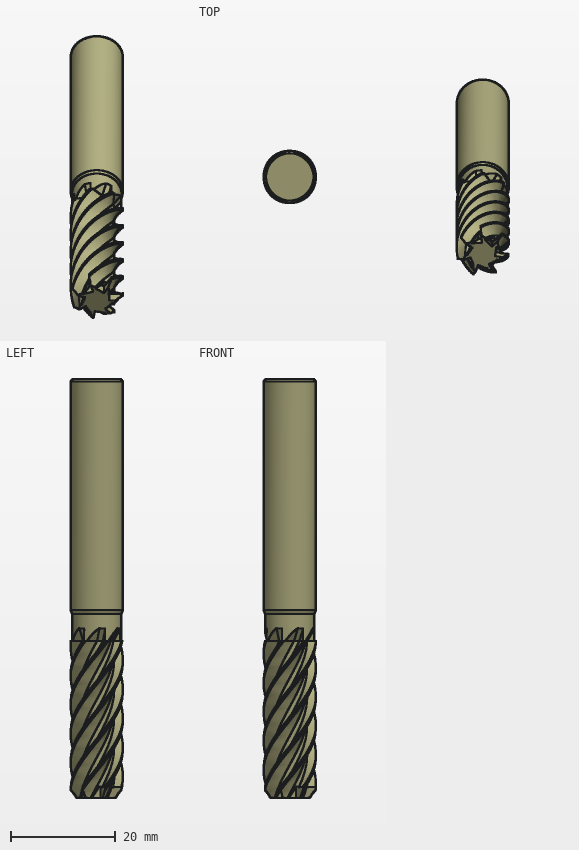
import cadquery as cq
import math

total_length = 80.0
shank_radius = 5.0
top_chamfer = 0.5

neck_radius = 4.7
neck_top = 35.1
neck_taper_height = 0.7

head_height = 30.0
head_radius = shank_radius
corner_radius = 1.6
corner_overrun = 0.1

flute_count = 7
tooth_angle = 360 / flute_count
helix_lead = 38.7
edge_angle_at_bottom = 23.7
land_angle = 6.0
core_radius = 3.4
floor_start_angle = 33.0
rake_undercut_angle = 1.0
clearance = 0.8

runout_height = 2.9
runout_shift = 1.7
runout_direction = 50.0

gash_height = 2.2
gash_roof_width = 0.6
gash_bottom_width = 1.9
gash_inner_radius = 2.4


def helix_turn(height):
    """Angle in degrees that the flutes turn through over a height."""
    return 360 * height / helix_lead


def polar(radius, degrees):
    """Point at a radius and an angle about the tool axis."""
    angle = math.radians(degrees)
    return (radius * math.cos(angle), radius * math.sin(angle))


def flute_section(edge_angle, height):
    """Closed flute outline, from the back of one land to the rake of the next tooth."""
    land_back = edge_angle + land_angle
    floor_start = edge_angle + floor_start_angle
    next_edge = edge_angle + tooth_angle
    floor_end = next_edge + rake_undercut_angle
    outside = head_radius + clearance
    return (
        cq.Workplane("XY", origin=(0, 0, height))
        .moveTo(*polar(head_radius, land_back))
        .lineTo(*polar(core_radius, floor_start))
        .threePointArc(polar(core_radius, (floor_start + floor_end) / 2), polar(core_radius, floor_end))
        .lineTo(*polar(head_radius, next_edge))
        .lineTo(*polar(outside, next_edge))
        .threePointArc(polar(outside, (land_back + next_edge) / 2), polar(outside, land_back))
        .close()
    )


def edge_angles(height):
    """Angle of every cutting edge at a height."""
    first = edge_angle_at_bottom + helix_turn(height)
    return [first + tooth_angle * tooth for tooth in range(flute_count)]


def end_gash(edge_angle):
    """Slot with an upright wall at the cutting edge and a far side that leans along the flute."""
    return (
        cq.Workplane("YZ", origin=(gash_inner_radius, 0, 0))
        .polyline([(0, 0), (0, gash_height), (-gash_roof_width, gash_height), (-gash_bottom_width, 0)])
        .close()
        .extrude(head_radius + clearance - gash_inner_radius)
        .rotate((0, 0, 0), (0, 0, 1), edge_angle)
    )


def fluted_bar():
    """Twisted bar: each tooth has a land, a relief falling to the flute floor, and a rake face."""
    outline = cq.Workplane("XY").moveTo(*polar(head_radius, edge_angle_at_bottom))
    for edge_angle in edge_angles(0):
        land_back = edge_angle + land_angle
        floor_start = edge_angle + floor_start_angle
        next_edge = edge_angle + tooth_angle
        floor_end = next_edge + rake_undercut_angle
        outline = (
            outline.threePointArc(polar(head_radius, edge_angle + land_angle / 2), polar(head_radius, land_back))
            .lineTo(*polar(core_radius, floor_start))
            .threePointArc(polar(core_radius, (floor_start + floor_end) / 2), polar(core_radius, floor_end))
            .lineTo(*polar(head_radius, next_edge))
        )
    return outline.close().twistExtrude(head_height, helix_turn(head_height))


def corner_ring():
    """Ring outside the rounded bottom corner; its arc ends just past the head's side."""
    flat_radius = head_radius - corner_radius
    arc_inset = corner_radius * (1 - math.sqrt(0.5))
    outside = head_radius + clearance
    return (
        cq.Workplane("XZ")
        .moveTo(flat_radius, 0)
        .threePointArc((head_radius - arc_inset, arc_inset), (head_radius + corner_overrun, corner_radius))
        .lineTo(outside, corner_radius)
        .lineTo(outside, -clearance)
        .lineTo(flat_radius, -clearance)
        .close()
        .revolve(360, (0, 0, 0), (0, 1, 0))
    )


def cutting_head():
    """Fluted bar with a rounded bottom corner and gashes in its end."""
    gashes = [end_gash(edge_angle) for edge_angle in edge_angles(gash_height)]
    return fluted_bar().cut(corner_ring()).val().cut(*[gash.val() for gash in gashes]).Solids()[0]


def flute_runout(edge_angle):
    """Straight continuation of a flute that climbs outward until it leaves the neck."""
    outward = polar(runout_shift, edge_angle + runout_direction)
    outline = flute_section(edge_angle, head_height).wire().val()
    return cq.Solid.extrudeLinear(outline, [], cq.Vector(*outward, runout_height))


def shank():
    """Chamfered cylindrical shank with a slimmer neck, standing on the cutting head."""
    blank = (
        cq.Workplane("XZ")
        .polyline(
            [
                (0, head_height),
                (neck_radius, head_height),
                (neck_radius, neck_top),
                (shank_radius, neck_top + neck_taper_height),
                (shank_radius, total_length - top_chamfer),
                (shank_radius - top_chamfer, total_length),
                (0, total_length),
            ]
        )
        .close()
        .revolve(360, (0, 0, 0), (0, 1, 0))
    )
    for edge_angle in edge_angles(head_height):
        blank = blank.cut(cq.Workplane(flute_runout(edge_angle)))
    return blank


result = cq.Compound.makeCompound([cutting_head(), shank().val()])